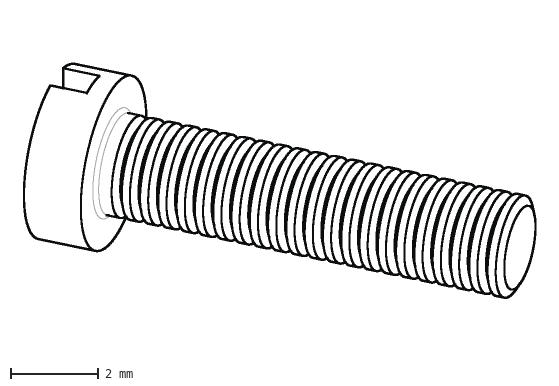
import cadquery as cq
import math

total_length = 11.4

head_diameter = 4.1
head_height = 1.4
slot_width = 0.8
slot_depth = 0.9

shank_diameter = 2.39
neck_fillet = 0.1

thread_length = 9.45
groove_count = 21
thread_pitch = thread_length / groove_count
groove_depth = 0.22
flank_half_angle = math.radians(30)
groove_half_width = groove_depth * math.tan(flank_half_angle)

head_radius = head_diameter / 2
shank_radius = shank_diameter / 2
root_radius = shank_radius - groove_depth


def screw_blank():
    """Head, filleted neck and grooved shank, revolved about the X axis."""
    outline = (
        cq.Workplane("XY")
        .lineTo(0, head_radius)
        .lineTo(head_height, head_radius)
        .lineTo(head_height, shank_radius + neck_fillet)
        .radiusArc((head_height + neck_fillet, shank_radius), -neck_fillet)
    )
    for pitches_from_tip in range(groove_count, 0, -1):
        groove_x = total_length - pitches_from_tip * thread_pitch
        outline = (
            outline.lineTo(groove_x - groove_half_width, shank_radius)
            .lineTo(groove_x, root_radius)
            .lineTo(groove_x + groove_half_width, shank_radius)
        )
    outline = (
        outline.lineTo(total_length - groove_half_width, shank_radius)
        .lineTo(total_length, root_radius)
        .lineTo(total_length, 0)
        .close()
    )
    return outline.revolve(360, (0, 0, 0), (1, 0, 0))


def driver_slot():
    """Straight slot running across the head face along Z."""
    return cq.Workplane("XY").box(slot_depth, slot_width, head_diameter, centered=(False, True, True))


result = screw_blank().cut(driver_slot())